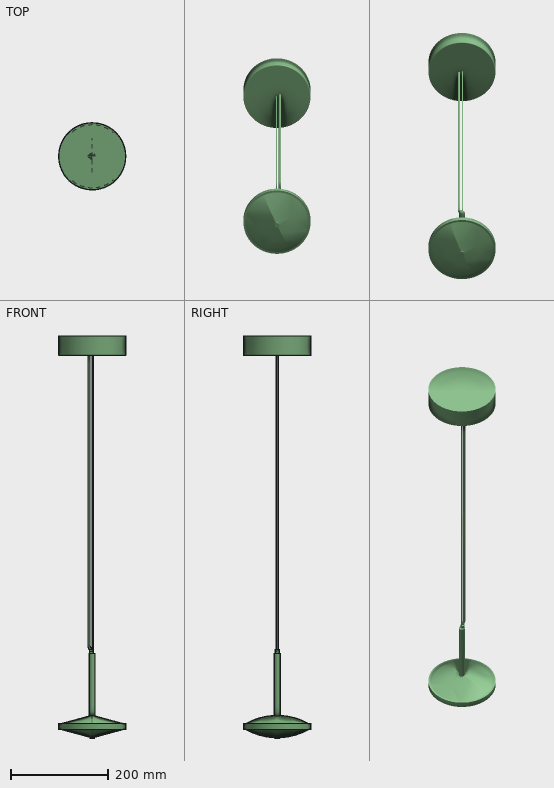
import cadquery as cq

total_height = 828.0
outer_diameter = 138.0

canopy_height = 40.5
canopy_edge_fillet = 2.0

rim_bottom = 19.0
rim_height = 12.0
ledge_width = 4.0
roof_rise = 17.0
slope_shares = (0.25, 0.5, 0.75)
tip_diameter = 10.0

stem_diameter = 12.5
stem_top = 175.5
ferrule_diameter = 8.0
ferrule_offset = -2.0
ferrule_height = 7.5

wire_diameter = 2.5
wire_offset = 1.0
cord_diameter = 5.0
cord_offset = -7.0
cord_entry_offset = -2.9
cord_bend_height = 8.0
cord_depth = 3.0

canopy_bottom = total_height - canopy_height
rim_top = rim_bottom + rim_height
roof_radius = outer_diameter / 2 - ledge_width
ferrule_top = stem_top + ferrule_height


def rod(diameter, bottom, top, x=0):
    """Vertical round bar between two levels."""
    return cq.Workplane("XY", origin=(x, 0, bottom)).circle(diameter / 2).extrude(top - bottom)


def make_roof(base_level, rise):
    """Circular base closed by two slopes that meet in an arched ridge; a negative rise points down.

    Each slope falls in a straight line from the middle of the ridge to the eave.
    """
    front = cq.Vector(0, -roof_radius, base_level)
    back = cq.Vector(0, roof_radius, base_level)
    ridge = cq.Edge.makeThreePointArc(front, cq.Vector(0, 0, base_level + rise), back)
    eaves = [
        cq.Edge.makeThreePointArc(front, cq.Vector(side * roof_radius, 0, base_level), back)
        for side in (-1, 1)
    ]
    slopes = []
    for eave, side in zip(eaves, (-1, 1)):
        middle_points = [
            (side * roof_radius * share, 0, base_level + rise * (1 - share)) for share in slope_shares
        ]
        slopes.append(cq.Face.makeNSidedSurface([eave, ridge], middle_points))
    base = cq.Face.makeFromWires(cq.Wire.assembleEdges(eaves))
    roof = cq.Solid.makeSolid(cq.Shell.makeShell([base, *slopes]))
    return cq.Workplane(roof.fix())


def make_canopy():
    """Ceiling disc with a rounded lower edge."""
    canopy = rod(outer_diameter, canopy_bottom, total_height)
    return canopy.faces("<Z").edges().fillet(canopy_edge_fillet)


def make_wire():
    """Straight wire from the ferrule to the canopy."""
    return rod(wire_diameter, ferrule_top, canopy_bottom, wire_offset)


def make_cord():
    """Cord hanging beside the wire, with an S-bend into the ferrule."""
    bend_top = ferrule_top + cord_bend_height
    path = (
        cq.Workplane("XZ")
        .moveTo(cord_offset, canopy_bottom)
        .lineTo(cord_offset, bend_top)
        .spline(
            [(cord_entry_offset, ferrule_top - cord_depth)],
            tangents=[(0, -1), (0, -1)],
            includeCurrent=True,
        )
    )
    profile = cq.Workplane("XY", origin=(cord_offset, 0, canopy_bottom)).circle(cord_diameter / 2)
    return profile.sweep(path)


def make_pendant(cord):
    """Shade, stem and ferrule in one piece, with a socket for the cord."""
    rim = rod(outer_diameter, rim_bottom, rim_top)
    upper_roof = make_roof(rim_top, roof_rise)
    lower_roof = make_roof(rim_bottom, -roof_rise)
    tip = rod(tip_diameter, 0, rim_bottom)
    stem = rod(stem_diameter, rim_top, stem_top)
    ferrule = rod(ferrule_diameter, stem_top, ferrule_top, ferrule_offset)
    return rim.union(upper_roof).union(lower_roof).union(tip).union(stem).union(ferrule).cut(cord)


canopy = make_canopy()
wire = make_wire()
cord = make_cord()
pendant = make_pendant(cord)

result = cq.Compound.makeCompound([canopy.val(), wire.val(), cord.val(), pendant.val()])